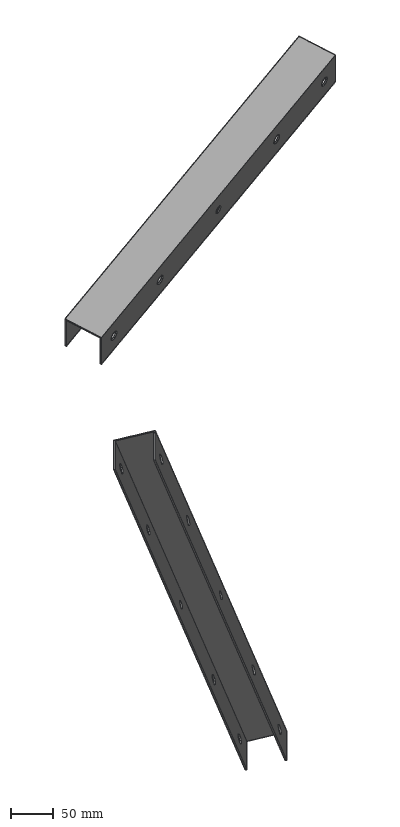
import cadquery as cq

length = 500.0
width = 51.0
height = 51.0
thickness = 2.0

center_hole_diameter = 10.0
outer_hole_diameter = 12.0
inner_hole_offset = 124.5
front_hole_y = -223.0
back_hole_y = 226.5
outer_hole_positions = [front_hole_y, -inner_hole_offset, inner_hole_offset, back_hole_y]


def make_channel():
    """U-shaped channel, open at the bottom and at both ends."""
    outer = cq.Workplane("XY").box(width, length, height)
    cavity = (
        cq.Workplane("XY")
        .box(width - 2 * thickness, length, height)
        .translate((0, 0, -thickness))
    )
    return outer.cut(cavity)


def make_flange_holes(diameter, positions):
    """Cylinders along X that cross both flanges at the given Y positions."""
    return (
        cq.Workplane("YZ")
        .pushPoints([(y, 0) for y in positions])
        .circle(diameter / 2)
        .extrude(width, both=True)
    )


result = (
    make_channel()
    .cut(make_flange_holes(center_hole_diameter, [0]))
    .cut(make_flange_holes(outer_hole_diameter, outer_hole_positions))
)